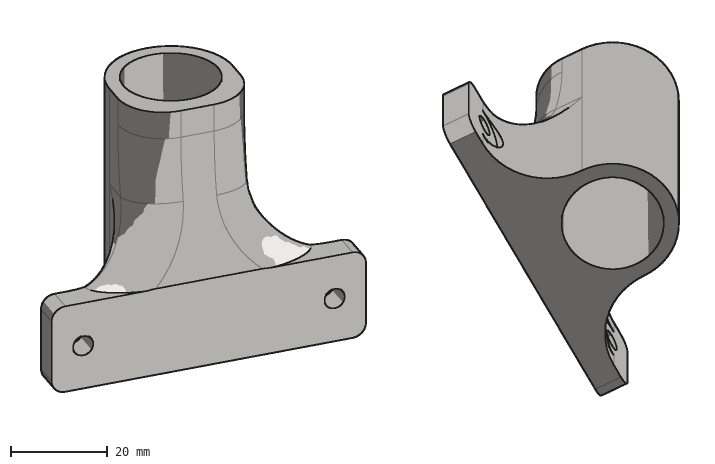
import cadquery as cq
import math

total_height = 57.0
tube_radius = 13.7
bore_radius = 10.6
tube_back = 14.6

total_width = 70.0
flange_back = 21.15
flange_thickness = 6.0
flange_front = flange_back - flange_thickness
flange_height = 20.0
flange_corner_radius = 3.0

web_radius = flange_front
shoulder_radius = web_radius
shoulder_top = 34.65
back_edge_radius = 10.0
back_curve_radius = 75.6
back_curve_foot = 20.15

hole_spacing = 56.0
hole_height = flange_height / 2
hole_radius = 2.25
spotface_radius = 5.5

half_width = total_width / 2
diagonal = math.sqrt(0.5)


def plan_prism(height):
    """Tube and flange outline joined by concave webs."""
    web_center_y = tube_radius + web_radius
    web_mid_x = web_radius * diagonal
    web_mid_y = web_center_y - web_radius * diagonal
    return (
        cq.Workplane("XY")
        .moveTo(0, tube_radius)
        .threePointArc((-tube_radius, 0), (0, -tube_radius))
        .threePointArc((web_mid_x, -web_mid_y), (flange_front, -web_center_y))
        .lineTo(flange_front, -half_width)
        .lineTo(flange_back, -half_width)
        .lineTo(flange_back, half_width)
        .lineTo(flange_front, half_width)
        .lineTo(flange_front, web_center_y)
        .threePointArc((web_mid_x, web_mid_y), (0, tube_radius))
        .close()
        .extrude(height)
    )


def shoulder_prism():
    """Tube sides flaring through concave shoulders to the flange top."""
    flare_y = tube_radius + shoulder_radius
    flare_foot = shoulder_top - shoulder_radius
    mid_y = flare_y - shoulder_radius * diagonal
    mid_z = shoulder_top - shoulder_radius * diagonal
    depth = 2 * total_width
    return (
        cq.Workplane("YZ", origin=(-total_width, 0, 0))
        .moveTo(-half_width, 0)
        .lineTo(half_width, 0)
        .lineTo(half_width, flare_foot)
        .lineTo(flare_y, flare_foot)
        .threePointArc((mid_y, mid_z), (tube_radius, shoulder_top))
        .lineTo(tube_radius, total_height)
        .lineTo(-tube_radius, total_height)
        .lineTo(-tube_radius, shoulder_top)
        .threePointArc((-mid_y, mid_z), (-flare_y, flare_foot))
        .lineTo(-half_width, flare_foot)
        .close()
        .extrude(depth)
    )


def back_prism():
    """Side profile whose back curves out from the tube to the flange."""
    center_x = tube_back + back_curve_radius

    def drop(x):
        return math.sqrt(back_curve_radius**2 - (center_x - x) ** 2)

    curve_top = back_curve_foot + drop(flange_back)
    mid_x = (tube_back + flange_back) / 2
    end_x = center_x - math.sqrt(back_curve_radius**2 - curve_top**2)
    return (
        cq.Workplane("XZ")
        .moveTo(-tube_radius, 0)
        .lineTo(end_x, 0)
        .threePointArc((mid_x, curve_top - drop(mid_x)), (tube_back, curve_top))
        .lineTo(tube_back, total_height)
        .lineTo(-tube_radius, total_height)
        .close()
        .extrude(half_width, both=True)
    )


upper_body = shoulder_prism().intersect(back_prism())
edge_region = cq.selectors.BoxSelector(
    (tube_back - 0.7, -total_width, flange_height - 0.7),
    (total_width, total_width, total_height - 0.7),
)
upper_body = (
    upper_body.edges(edge_region)
    .filter(lambda edge: abs(edge.Center().y) > tube_radius / 2)
    .fillet(back_edge_radius)
)
upper_body = upper_body.intersect(plan_prism(total_height))

body = upper_body.union(plan_prism(flange_height))
body = body.faces("<Y or >Y").edges("|X").fillet(flange_corner_radius)

body = body.cut(cq.Workplane("XY").circle(bore_radius).extrude(total_height))

for side in (-1, 1):
    center = (0, side * hole_spacing / 2, hole_height)
    hole = cq.Workplane("YZ", origin=center).circle(hole_radius).extrude(flange_back)
    spotface = cq.Workplane("YZ", origin=center).circle(spotface_radius).extrude(flange_front)
    body = body.cut(hole).cut(spotface)

result = body